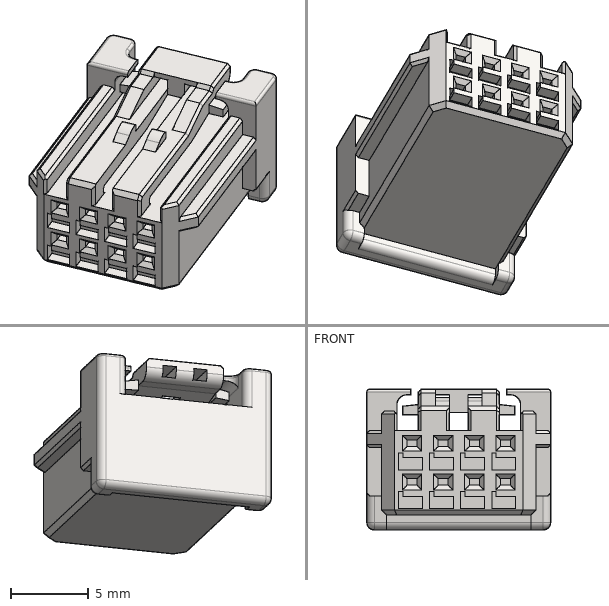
import cadquery as cq
length = 15.0
width = 11.9
height = 9.1
half_length = length / 2
half_width = width / 2
small = 0.2

body_half_width = 5.0
body_bottom = 0.98
body_top = 6.44
bottom_chamfer = 0.33
front_corner = 1.8

rail_inner = 3.99
rail_top = 7.68
rib_bottom = 5.32

collar_front = 3.8
collar_bottom = 2.2
leg_inner = body_half_width - bottom_chamfer
leg_depth = 2.02
ledge_depth = 1.5
corner_radius = 0.5
lip_inner = 3.09
lip_back = 5.54
lip_bottom = height - 0.38
notch_radius = 0.69
under_lip_radius = 0.63

latch_half_width = 2.62
slot_half_width = 0.6
rib_inner = 1.5
arm_top = 8.01
arm_bottom = 7.04
arm_gap_front = -5.95
arm_bend = 1.0
arm_front_chamfer = 0.3
ramp_low = 0.39
ramp_high = 2.76
stiffener_top = 8.86
end_front = 4.53
end_back = 7.3
end_bottom = 7.75
end_bottom_front = 5.58
end_radius = 0.75

tab_outer = 3.63
tab_bottom = 7.44
tab_outer_top = 8.01
tab_inner_top = 8.12
tab_outer_back = 5.43
tab_inner_back = 5.7

nub_back = -0.63
nub_curve_end = -1.72
nub_front = -2.35
nub_top = 8.58
nub_slope_top = 8.34

columns = 4
rows = 2
column_pitch = 2.01
row_pitch = 2.5
upper_row = 5.61
socket_width = 1.25
socket_height = 1.02
funnel_depth = 0.3
pin_width = socket_width - 2 * funnel_depth
pin_height = socket_height - 2 * funnel_depth
pin_depth = 3.0
slot_depth = 0.75
slot_width = 1.55
slot_height = 0.8
slot_shift = -0.1
slot_top_drop = 0.93
key_width = 0.28
key_height = 0.32


def box(x0, x1, y0, y1, z0, z1):
    return cq.Workplane("XY").box(x1 - x0, y1 - y0, z1 - z0, centered=False).translate((x0, y0, z0))


def profile_along_y(points, y0, y1):
    """Extrude an XZ outline from y0 to y1."""
    return cq.Workplane("XZ", origin=(0, y0, 0)).polyline(points).close().extrude(y0 - y1)


def profile_along_x(points, half_span):
    """Extrude a YZ outline symmetrically about the middle plane."""
    return cq.Workplane("YZ").polyline(points).close().extrude(half_span, both=True)


def both_sides(shape):
    return shape.union(shape.mirror("YZ"))


def cut_front_corner(shape):
    """Take the 45 degree front corner off a shape on the +X side."""
    corner = (
        cq.Workplane("XY")
        .polyline([
            (half_width, -half_length),
            (half_width, -half_length + front_corner),
            (half_width - front_corner, -half_length),
        ])
        .close()
        .extrude(height)
    )
    return shape.cut(corner)


def diagonal_edges(shape, z):
    """Edges at height z that lie along the front corner cut."""
    diagonal = half_width + half_length - front_corner
    return shape.edges("#Z").filter(
        lambda e: abs(e.Center().z - z) < 0.002 and abs(e.Center().x - e.Center().y - diagonal) < 0.002
    )


def make_body():
    half = cut_front_corner(box(0, body_half_width, -half_length, half_length, body_bottom, body_top))
    body = both_sides(half).clean()
    return body.faces("<Z").edges("not >Y").chamfer(bottom_chamfer)


def make_rail():
    rail = profile_along_y([
        (rail_inner, body_top),
        (body_half_width, body_top),
        (body_half_width, rail_top - small),
        (body_half_width - small, rail_top),
        (rail_inner + small, rail_top),
        (rail_inner, rail_top - small),
    ], -half_length, collar_front)
    rail = rail.edges("|Z and <X and <Y").chamfer(small)
    rail = cut_front_corner(rail)
    return diagonal_edges(rail, rail_top).chamfer(small)


def make_rib():
    rib = profile_along_y([
        (body_half_width, rib_bottom),
        (half_width - small, rib_bottom),
        (half_width, rib_bottom + small),
        (half_width, body_top - small),
        (half_width - small, body_top),
        (body_half_width, body_top),
    ], -half_length, collar_front)
    rib = cut_front_corner(rib)
    rib = diagonal_edges(rib, body_top).chamfer(small)
    return diagonal_edges(rib, rib_bottom).chamfer(small)


def make_collar():
    block = box(-half_width, half_width, collar_front, half_length, collar_bottom, body_top)
    block = block.edges("|Z and >Y").fillet(corner_radius)
    block = block.faces("<Z").edges("<X or >X").chamfer(small)
    leg = box(leg_inner, half_width, half_length - leg_depth, half_length, 0, body_top)
    leg = leg.edges("|Z and >X").fillet(corner_radius)
    leg = leg.faces("<Z").edges("not <X").fillet(corner_radius)
    ledge = box(-leg_inner, leg_inner, half_length - ledge_depth, half_length, 0, body_top)
    ledge = ledge.faces("<Z").edges("|X").fillet(corner_radius)
    return block.union(both_sides(leg)).union(ledge)


def make_post():
    """Post with an inward lip; a concave notch joins the lip to the post."""
    diagonal = corner_radius * (1 - 0.5 ** 0.5)
    notch_diagonal = notch_radius * (1 - 0.5 ** 0.5)
    post = (
        cq.Workplane("XY", origin=(0, 0, body_top))
        .moveTo(lip_inner, collar_front)
        .lineTo(half_width, collar_front)
        .lineTo(half_width, half_length - corner_radius)
        .threePointArc((half_width - diagonal, half_length - diagonal), (half_width - corner_radius, half_length))
        .lineTo(rail_inner + corner_radius, half_length)
        .threePointArc((rail_inner + diagonal, half_length - diagonal), (rail_inner, half_length - corner_radius))
        .lineTo(rail_inner, lip_back + notch_radius)
        .threePointArc(
            (rail_inner - notch_diagonal, lip_back + notch_diagonal),
            (rail_inner - notch_radius, lip_back),
        )
        .lineTo(lip_inner, lip_back)
        .close()
        .extrude(height - body_top)
    )
    post = post.faces(">Z").edges("not <X").fillet(small)
    under_lip = box(0, rail_inner, collar_front, half_length, 0, lip_bottom)
    under_lip = under_lip.edges("|Y and >X and >Z").fillet(under_lip_radius)
    return post.cut(under_lip)


def make_tab():
    """Wedge-shaped tab on the side of the latch, tapered in plan and in height."""
    front_shape = profile_along_y([
        (latch_half_width, tab_bottom),
        (tab_outer, tab_bottom),
        (tab_outer, tab_outer_top),
        (latch_half_width, tab_inner_top),
    ], collar_front, tab_inner_back)
    plan = (
        cq.Workplane("XY")
        .polyline([
            (latch_half_width, collar_front),
            (tab_outer, collar_front),
            (tab_outer, tab_outer_back),
            (latch_half_width, tab_inner_back),
        ])
        .close()
        .extrude(height)
    )
    return front_shape.intersect(plan)


def make_nub():
    return (
        cq.Workplane("YZ", origin=(slot_half_width, 0, 0))
        .moveTo(nub_back, arm_top)
        .lineTo(nub_back, nub_top - small)
        .tangentArcPoint((nub_back - small, nub_top), relative=False)
        .tangentArcPoint((nub_curve_end, nub_slope_top), relative=False)
        .lineTo(nub_front, arm_top)
        .close()
        .extrude(rib_inner - slot_half_width)
    )


def is_outer_edge(edge):
    """True for the latch side edges along its top and at the front ends of the arms."""
    center = edge.Center()
    on_top = center.z > arm_top - small and center.y < end_back - small
    on_front = center.y < -half_length + small and center.z > body_top + small
    return edge.geomType() == "LINE" and (on_top or on_front)


def make_latch():
    latch = profile_along_x([
        (-half_length, body_top),
        (-half_length, arm_top - arm_front_chamfer),
        (-half_length + arm_front_chamfer, arm_top),
        (ramp_low, arm_top),
        (ramp_high, stiffener_top),
        (end_front - (height - stiffener_top), stiffener_top),
        (end_front, height),
        (end_back, height),
        (end_back, body_top),
    ], latch_half_width)
    gap = profile_along_x([
        (arm_gap_front, body_top),
        (arm_gap_front, arm_bottom),
        (arm_bend, arm_bottom),
        (end_bottom_front, end_bottom),
        (end_back, end_bottom),
        (end_back, body_top),
    ], latch_half_width)
    latch = latch.cut(gap.faces("<Y").edges("|X").fillet(small))
    latch = latch.faces(">Y").edges("<Z").fillet(end_radius)
    latch = latch.faces("<X or >X").edges().filter(is_outer_edge).chamfer(small)
    latch = latch.cut(box(-slot_half_width, slot_half_width, -half_length, end_front, 0, height))
    low_top = box(slot_half_width, rib_inner, ramp_low, end_back, arm_top, lip_bottom)
    low_top = low_top.union(box(slot_half_width, rib_inner, ramp_low, end_front, arm_top, height))
    latch = latch.cut(both_sides(low_top))
    inner_corners = latch.faces("<Y").edges("|Z").filter(lambda e: abs(e.Center().x) < rib_inner)
    latch = inner_corners.chamfer(small)
    return latch.union(both_sides(make_nub())).union(both_sides(make_tab()))


def make_opening():
    """Funnel-mouthed pin socket at the origin with the keyed slot below it, running along +Y."""
    front = cq.Workplane("XZ")
    funnel = (
        front.rect(socket_width, socket_height)
        .workplane(offset=-funnel_depth)
        .rect(pin_width, pin_height)
        .loft(ruled=True)
    )
    pin = front.rect(pin_width, pin_height).extrude(-pin_depth)
    left = slot_shift - slot_width / 2
    slot = box(left, left + slot_width, 0, slot_depth, -slot_top_drop - slot_height, -slot_top_drop)
    key = box(left, left + key_width, 0, slot_depth, -slot_top_drop, -slot_top_drop + key_height)
    return funnel.union(pin).union(slot).union(key)


result = make_body().union(make_collar())
for side_part in (make_rail(), make_rib(), make_post()):
    result = result.union(both_sides(side_part))
result = result.union(make_latch())

opening = make_opening()
for column in range(columns):
    for row in range(rows):
        x = (column - (columns - 1) / 2) * column_pitch
        z = upper_row - row * row_pitch
        result = result.cut(opening.translate((x, -half_length, z)))